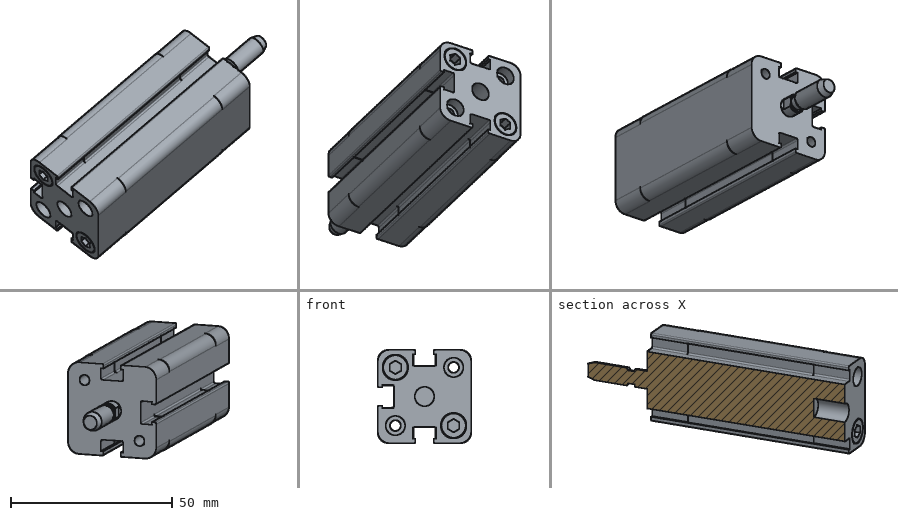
import cadquery as cq
import math

TOTAL_LENGTH = 88.5
BODY_SIDE = 29.0
BODY_LENGTH = 68.15
CAP_LENGTH = 12.4
CAP_CORNER_RADIUS = 3.7
TUBE_CORNER_RADIUS = 3.45
HALF_SIDE = BODY_SIDE / 2

SLOT_DEPTH = 5.05
SLOT_MOUTH = 5.7
LIP_THICKNESS = 1.4
LIP_RADIUS = 0.4
CAP_SLOT_WIDTH = 7.3
TUBE_SLOT_WIDTH = 6.8
SLOT_FLOOR_RADIUS = 0.5
SLOT_ANGLES = (0, 90, 180)

CORNER_OFFSET = 9.0
PORT_DIAMETER = 6.0
CENTRE_PORT_DEPTH = 10.6
CORNER_RECESS_DEPTH = 3.5
THROUGH_DIAMETER = 3.3
SCREW_RECESS_DIAMETER = 8.0
SCREW_HEAD_DIAMETER = 7.5
SCREW_HEAD_HEIGHT = 4.4
SOCKET_ACROSS_CORNERS = 4.2
SOCKET_DEPTH = 3.5
SOCKET_SIDES = 6
SOCKET_TURN = 30
SCREW_CENTRES = ((-CORNER_OFFSET, CORNER_OFFSET), (CORNER_OFFSET, -CORNER_OFFSET))
THROUGH_CENTRES = ((CORNER_OFFSET, CORNER_OFFSET), (-CORNER_OFFSET, -CORNER_OFFSET))

ROD_DIAMETER = 6.0
ROD_END_BEVEL = 0.3
NECK_DIAMETER = 4.4
NECK_LENGTH = 2.2
TIP_DIAMETER = 4.4
TIP_LENGTH = 2.2
THREAD_LENGTH = 11.15
THREAD_RUNOUT = 0.5
FLATS_WIDTH = 5.05
FLATS_RUNOUT = 0.9


def face_plane(y):
    """Plane at position y along the axis: local x is X, local y is Z, normal is -Y."""
    return cq.Workplane("XZ", origin=(0, y, 0))


def slot_cutter(start, end, inner_width):
    """T-slot open to +Z, running from y = start to y = end."""
    mouth = SLOT_MOUTH / 2
    inner = inner_width / 2
    floor = HALF_SIDE - SLOT_DEPTH
    lip_bottom = HALF_SIDE - LIP_THICKNESS
    arc_middle = 1 - math.sqrt(0.5)
    lip_inset = LIP_RADIUS * arc_middle
    floor_inset = SLOT_FLOOR_RADIUS * arc_middle
    half_slot = (
        face_plane(start)
        .moveTo(0, HALF_SIDE)
        .lineTo(mouth + LIP_RADIUS, HALF_SIDE)
        .threePointArc((mouth + lip_inset, HALF_SIDE - lip_inset), (mouth, HALF_SIDE - LIP_RADIUS))
        .lineTo(mouth, lip_bottom)
        .lineTo(inner, lip_bottom)
        .lineTo(inner, floor + SLOT_FLOOR_RADIUS)
        .threePointArc((inner - floor_inset, floor + floor_inset), (inner - SLOT_FLOOR_RADIUS, floor))
        .lineTo(0, floor)
        .close()
        .extrude(start - end)
    )
    return half_slot.union(half_slot.mirror("YZ"))


def body_section(start, end, corner_radius, slot_width):
    """Rounded square bar with its three T-slots."""
    section = (
        face_plane(start)
        .rect(BODY_SIDE, BODY_SIDE)
        .extrude(start - end)
        .edges("|Y")
        .fillet(corner_radius)
    )
    cutter = slot_cutter(start, end, slot_width)
    for angle in SLOT_ANGLES:
        section = section.cut(cutter.rotate((0, 0, 0), (0, -1, 0), angle))
    return section


def piston_rod():
    """Turned rod with a threaded end, a neck and two wrench flats facing +X and -X."""
    radius = ROD_DIAMETER / 2
    neck = NECK_DIAMETER / 2
    thread_end = TOTAL_LENGTH - TIP_LENGTH - THREAD_LENGTH
    neck_end = thread_end - THREAD_RUNOUT
    shoulder = neck_end - NECK_LENGTH
    outline = [
        (0, BODY_LENGTH),
        (radius, BODY_LENGTH),
        (radius, shoulder - ROD_END_BEVEL),
        (radius - ROD_END_BEVEL, shoulder),
        (neck, shoulder),
        (neck, neck_end),
        (radius, thread_end),
        (radius, TOTAL_LENGTH - TIP_LENGTH),
        (TIP_DIAMETER / 2, TOTAL_LENGTH),
        (0, TOTAL_LENGTH),
    ]
    rod = cq.Workplane("XY").polyline(outline).close().revolve(360, (0, 0), (0, 1))

    flat = FLATS_WIDTH / 2
    flat_start = BODY_LENGTH + FLATS_RUNOUT
    cut_outline = [
        (flat, shoulder),
        (flat, flat_start),
        (radius, BODY_LENGTH),
        (radius, shoulder),
    ]
    cutter = cq.Workplane("XY").polyline(cut_outline).close().extrude(radius, both=True)
    return rod.cut(cutter).cut(cutter.mirror("YZ"))


def cut_end_face(body):
    """Central port, recessed through holes and socket-head screws in the -Y end face."""
    face = face_plane(0)
    port = face.circle(PORT_DIAMETER / 2).extrude(-CENTRE_PORT_DEPTH)
    recesses = face.pushPoints(THROUGH_CENTRES).circle(PORT_DIAMETER / 2).extrude(-CORNER_RECESS_DEPTH)
    through = face.pushPoints(THROUGH_CENTRES).circle(THROUGH_DIAMETER / 2).extrude(-BODY_LENGTH)
    gaps = (
        face.pushPoints(SCREW_CENTRES)
        .circle(SCREW_RECESS_DIAMETER / 2)
        .circle(SCREW_HEAD_DIAMETER / 2)
        .extrude(-SCREW_HEAD_HEIGHT)
    )
    body = body.cut(port).cut(recesses).cut(through).cut(gaps)
    for x, z in SCREW_CENTRES:
        socket = face.polygon(SOCKET_SIDES, SOCKET_ACROSS_CORNERS).extrude(-SOCKET_DEPTH)
        socket = socket.rotate((0, 0, 0), (0, 1, 0), SOCKET_TURN)
        body = body.cut(socket.translate((x, 0, z)))
    return body


tube_end = BODY_LENGTH - CAP_LENGTH
front_cap = body_section(0, CAP_LENGTH, CAP_CORNER_RADIUS, CAP_SLOT_WIDTH)
tube = body_section(CAP_LENGTH, tube_end, TUBE_CORNER_RADIUS, TUBE_SLOT_WIDTH)
rear_cap = body_section(tube_end, BODY_LENGTH, CAP_CORNER_RADIUS, CAP_SLOT_WIDTH)
body = front_cap.union(tube).union(rear_cap)
result = cut_end_face(body).union(piston_rod())